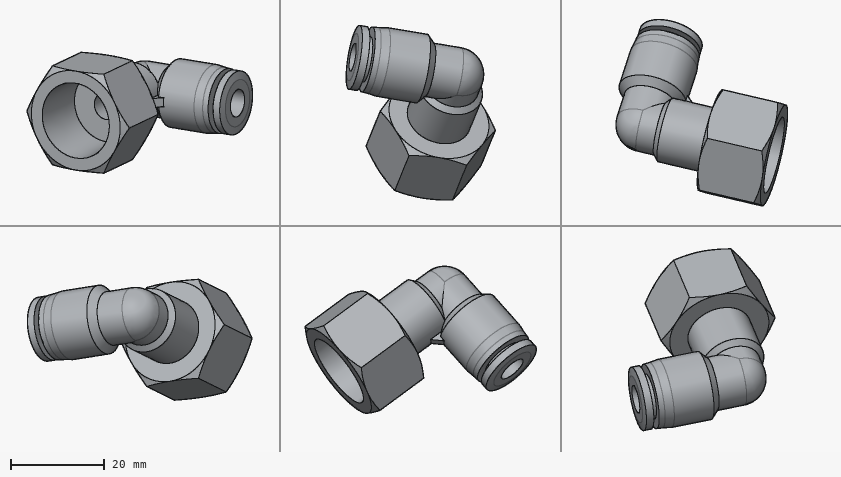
import cadquery as cq
import math


hex_flats = 22.0
hex_length = 13.98
hex_corners = hex_flats / math.cos(math.radians(30))
hex_chamfer_angle = 30
socket_radius = 7.43
nut_front = socket_radius - 36.4
nut_back = nut_front + hex_length

neck_radius = 5.8
stem_radius = 7.0
stem_cone_start = -3.85
stem_cone_end = -5.0

cone_start = 6.1
cone_end = 7.7
taper_start = 16.53
taper_end = 18.5
socket_end = 19.75
collar_start = 20.93
collar_edge = 22.55
collar_end = 35.6 - hex_corners / 2
taper_radius = 7.15
socket_end_radius = 7.03
groove_radius = 4.9
collar_radius = 6.9
collar_face_radius = 5.1

web_reach = 16.38
web_thickness = 2.0

thread_mouth_radius = 8.3
thread_floor_radius = 7.9
thread_taper = 1 / 32
thread_depth = (thread_mouth_radius - thread_floor_radius) / thread_taper
bore_radius = 3.0


def turned_about_x(points):
    """Revolve (x, radius) points about the X axis."""
    return cq.Workplane("XY").polyline(points).close().revolve(360, (0, 0, 0), (1, 0, 0))


def turned_about_y(points):
    """Revolve (radius, y) points about the Y axis."""
    return cq.Workplane("XY").polyline(points).close().revolve(360, (0, 0, 0), (0, 1, 0))


def make_nut():
    """Hexagon along Y with both ends cut back by a cone."""
    prism = (
        cq.Workplane("XZ", origin=(0, nut_back, 0))
        .polygon(6, hex_corners)
        .extrude(hex_length)
    )
    face_radius = hex_flats / 2
    outer_radius = hex_corners / 2
    drop = (outer_radius - face_radius) * math.tan(math.radians(hex_chamfer_angle))
    envelope = turned_about_y([
        (0, nut_front),
        (face_radius, nut_front),
        (outer_radius, nut_front + drop),
        (outer_radius, nut_back - drop),
        (face_radius, nut_back),
        (0, nut_back),
    ])
    return prism.intersect(envelope)


def make_stem():
    """Neck of the elbow widening through a cone to the stem."""
    return turned_about_y([
        (0, 0),
        (neck_radius, 0),
        (neck_radius, stem_cone_start),
        (stem_radius, stem_cone_end),
        (stem_radius, nut_back),
        (0, nut_back),
    ])


def make_socket():
    """Horizontal neck, socket body, groove and release collar."""
    return turned_about_x([
        (0, 0),
        (0, neck_radius),
        (cone_start, neck_radius),
        (cone_end, socket_radius),
        (taper_start, socket_radius),
        (taper_end, taper_radius),
        (socket_end, socket_end_radius),
        (socket_end, groove_radius),
        (collar_start, groove_radius),
        (collar_start, collar_radius),
        (collar_edge, collar_radius),
        (collar_end, collar_face_radius),
        (collar_end, 0),
    ])


def make_web():
    """Triangular plate bracing the inner corner at 45 degrees."""
    return (
        cq.Workplane("XY")
        .polyline([(0, 0), (web_reach, 0), (0, -web_reach)])
        .close()
        .extrude(web_thickness / 2, both=True)
    )


def make_thread_bore():
    """Tapered bore in the nut, narrowing inward."""
    floor = nut_front + thread_depth
    return turned_about_y([
        (0, nut_front),
        (thread_mouth_radius, nut_front),
        (thread_floor_radius, floor),
        (0, floor),
    ])


def make_passage():
    """Flow passage through both arms with a ball-shaped corner."""
    ball = cq.Workplane("XY").sphere(bore_radius)
    stem_bore = cq.Workplane("XZ").circle(bore_radius).extrude(-nut_front)
    socket_bore = cq.Workplane("YZ").circle(bore_radius).extrude(collar_end)
    return ball.union(stem_bore).union(socket_bore)


elbow_ball = cq.Workplane("XY").sphere(neck_radius)
body = make_stem().union(make_socket()).union(elbow_ball).union(make_web()).union(make_nut())
result = body.cut(make_thread_bore()).cut(make_passage())